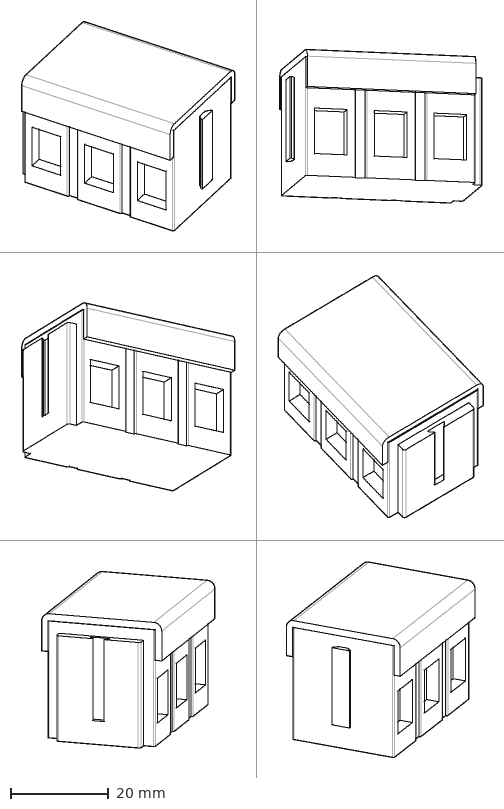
import cadquery as cq

module_count = 3
module_width = 10.5
module_gap = 2.0
module_pitch = module_width + module_gap
housing_depth = 23.0
housing_height = 24.7
edge_radius = 0.3
groove_depth = 0.4

window_width = 6.8
window_height = 9.45
window_bottom = 4.6
window_depth = 2.8

plate_thickness = 2.0
plate_width = 18.1
plate_height = 22.3
plate_edge_radius = 0.5

dovetail_depth = 1.15
dovetail_neck_width = 2.35
dovetail_wide_width = 4.0
dovetail_lip = 0.15
dovetail_edge = 0.3
slot_bottom = 5.0
key_bottom = 5.3

cover_height = 8.0
cover_top_thickness = 1.5
cover_side_thickness = 1.4
cover_edge_radius = 1.7
cover_setback = 0.2

housing_length = module_count * module_width + (module_count - 1) * module_gap
housing_start = plate_thickness
housing_end = housing_start + housing_length
cover_start = housing_start + cover_setback
cover_length = housing_end - cover_start
cover_width = housing_depth + 2 * cover_side_thickness
cover_bottom = housing_height + cover_top_thickness - cover_height
side_signs = (-1, 1)


def box(x_start, y_middle, z_start, length, width, height):
    """Box placed by its lowest X, its middle Y and its lowest Z."""
    return (
        cq.Workplane("XY")
        .box(length, width, height, centered=(False, True, False))
        .translate((x_start, y_middle, z_start))
    )


def dovetail(neck_x, z_bottom):
    """Upright dovetail bar, narrow at neck_x and widening towards +X, up to the plate top."""
    half_neck = dovetail_neck_width / 2
    half_wide = dovetail_wide_width / 2
    flank_start = neck_x + dovetail_lip
    wide_end = neck_x + dovetail_depth
    flank_end = wide_end - dovetail_edge
    return (
        cq.Workplane("XY", origin=(0, 0, z_bottom))
        .polyline([
            (neck_x, -half_neck),
            (flank_start, -half_neck),
            (flank_end, -half_wide),
            (wide_end, -half_wide),
            (wide_end, half_wide),
            (flank_end, half_wide),
            (flank_start, half_neck),
            (neck_x, half_neck),
        ])
        .close()
        .extrude(plate_height - z_bottom)
    )


def module_block(index):
    """One module with rounded upright edges and a window in each long side."""
    start = housing_start + index * module_pitch
    block = box(start, 0, 0, module_width, housing_depth, housing_height)
    block = block.edges("|Z").fillet(edge_radius)
    for side in side_signs:
        block = block.cut(box(
            start + (module_width - window_width) / 2,
            side * (housing_depth - window_depth) / 2,
            window_bottom,
            window_width,
            window_depth,
            window_height,
        ))
    return block


def gap_block(index):
    """Web that joins a module to the next one, set back to form the side grooves."""
    start = housing_start + index * module_pitch + module_width
    return box(start, 0, 0, module_gap, housing_depth - 2 * groove_depth, housing_height)


def coupling_plate():
    """Plate on the -X end with rounded outer upright edges and a dovetail slot."""
    plate = box(0, 0, 0, plate_thickness, plate_width, plate_height)
    plate = plate.edges("|Z and <X").fillet(plate_edge_radius)
    return plate.cut(dovetail(0, slot_bottom))


def build_housing():
    body = coupling_plate()
    for index in range(module_count):
        body = body.union(module_block(index))
    for index in range(module_count - 1):
        body = body.union(gap_block(index))
    return body.union(dovetail(housing_end, key_bottom))


def build_cover():
    """Channel that sits over the top of the housing, with rounded long top edges."""
    shell = box(cover_start, 0, cover_bottom, cover_length, cover_width, cover_height)
    shell = shell.edges("|X and >Z").fillet(cover_edge_radius)
    channel_height = housing_height - cover_bottom
    return shell.cut(box(cover_start, 0, cover_bottom, cover_length, housing_depth, channel_height))


housing = build_housing()
cover = build_cover()
result = cq.Compound.makeCompound([housing.val(), cover.val()])